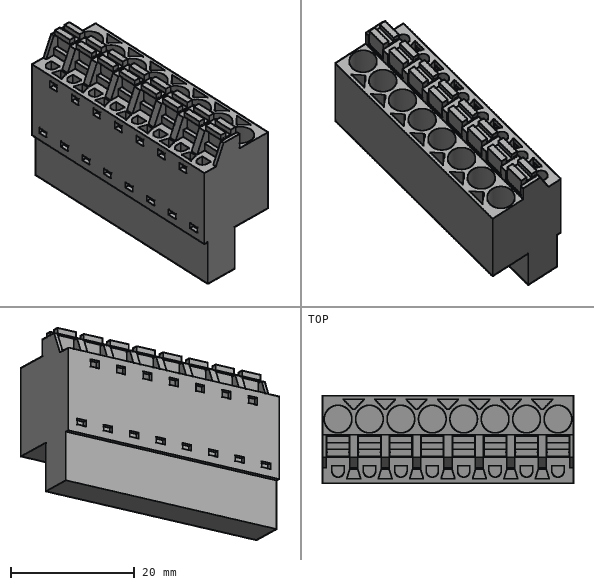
import cadquery as cq


POLES = 8
LENGTH = 40.65
PITCH = LENGTH / POLES
POLE_CENTRES = [PITCH * (i + 0.5) for i in range(POLES)]
POLE_BOUNDARIES = [PITCH * i for i in range(1, POLES)]

DEPTH = 14.2
BODY_BOTTOM = 8.4
FRONT_DECK = 22.7
REAR_DECK = 23.75
RIB_TOP = 26.6
RIB_BACK = 7.85
RIB_TOP_FRONT = 4.25
RIB_FOOT_FRONT = 2.55
PLUG_FRONT = 0.77
PLUG_BACK = 6.8

SLOT_WIDTH = 3.78
SEAT_TOP = 24.1
SEAT_FRONT = RIB_TOP_FRONT

LEVER_WIDTH = 3.58
LEVER_BACK = 7.65
LEVER_STEM_FRONT = 5.05
LEVER_PLATE_TOP = 26.75
LEVER_TOP = 27.7
BAR_DEPTH = 1.1
FRONT_BAR_FRONT = 4.4

WELL_RADIUS = 2.25
WELL_Y = 10.4
WELL_DEPTH = 8.13

REAR_POCKET_BACK = 13.57
REAR_POCKET_FRONT = 12.0
REAR_POCKET_BACK_WIDTH = 3.35
REAR_POCKET_FRONT_WIDTH = 0.33
REAR_POCKET_DEPTH = 8.13

ENTRY_WIDTH = 2.0
ENTRY_BACK = 2.9
ENTRY_FRONT = 1.0
ENTRY_DEPTH = 8.13

FRONT_POCKET_BACK = 2.28
FRONT_POCKET_FRONT = 0.77
FRONT_POCKET_BACK_WIDTH = 1.3
FRONT_POCKET_FRONT_WIDTH = 2.25
FRONT_POCKET_DEPTH = 8.13

UPPER_WINDOW_WIDTH = 1.63
UPPER_WINDOW_BOTTOM = 20.35
UPPER_WINDOW_TOP = 21.62
LOWER_WINDOW_WIDTH = 1.7
LOWER_WINDOW_BOTTOM = 9.8
LOWER_WINDOW_TOP = 10.8
LOWER_WINDOW_DEPTH = 0.77

HOOK_WIDTH = 2.05
HOOK_CENTRES = [2 * PITCH, LENGTH - 2 * PITCH]
HOOK_PROFILE = [
    (10.15, BODY_BOTTOM),
    (9.67, 6.3),
    (9.3, 5.15),
    (8.3, 3.9),
    (7.92, 4.75),
    (8.4, 5.32),
    (8.4, 7.48),
    (8.05, BODY_BOTTOM),
]


def block(x_centre, width, y_front, y_back, z_bottom, z_top):
    """Box centred on x_centre and spanning the given Y and Z ranges."""
    return (
        cq.Workplane("XY")
        .box(width, y_back - y_front, z_top - z_bottom, centered=(True, False, False))
        .translate((x_centre, y_front, z_bottom))
    )


def side_extrusion(profile, x_start, width):
    """Closed YZ profile extruded along X."""
    return cq.Workplane("YZ", origin=(x_start, 0, 0)).polyline(profile).close().extrude(width)


def tapered_pocket(x_centre, y_front, width_front, y_back, width_back, z_top, depth):
    """Cutter with a trapezoid plan, sunk vertically from z_top."""
    return (
        cq.Workplane("XY", origin=(x_centre, 0, z_top))
        .moveTo(-width_front / 2, y_front)
        .lineTo(width_front / 2, y_front)
        .lineTo(width_back / 2, y_back)
        .lineTo(-width_back / 2, y_back)
        .close()
        .extrude(-depth)
    )


def wire_entry(x_centre):
    """Cutter with a straight back wall and a semicircular front wall."""
    radius = ENTRY_WIDTH / 2
    arc_start_y = ENTRY_FRONT + radius
    return (
        cq.Workplane("XY", origin=(x_centre, 0, FRONT_DECK))
        .moveTo(-radius, ENTRY_BACK)
        .lineTo(-radius, arc_start_y)
        .threePointArc((0, ENTRY_FRONT), (radius, arc_start_y))
        .lineTo(radius, ENTRY_BACK)
        .close()
        .extrude(-ENTRY_DEPTH)
    )


def round_well(x_centre):
    """Cutter for a round well in the rear deck."""
    return cq.Workplane("XY", origin=(x_centre, WELL_Y, REAR_DECK)).circle(WELL_RADIUS).extrude(-WELL_DEPTH)


def lever_slot(x_centre):
    """Cutter that opens one lever slot between the ribs, leaving the seat standing."""
    profile = [
        (RIB_FOOT_FRONT, FRONT_DECK),
        (SEAT_FRONT, FRONT_DECK),
        (SEAT_FRONT, SEAT_TOP),
        (RIB_BACK, SEAT_TOP),
        (RIB_BACK, RIB_TOP),
        (RIB_FOOT_FRONT, RIB_TOP),
    ]
    return side_extrusion(profile, x_centre - SLOT_WIDTH / 2, SLOT_WIDTH)


def make_housing():
    outline = [
        (0, BODY_BOTTOM),
        (0, FRONT_DECK),
        (RIB_FOOT_FRONT, FRONT_DECK),
        (RIB_TOP_FRONT, RIB_TOP),
        (RIB_BACK, RIB_TOP),
        (RIB_BACK, REAR_DECK),
        (DEPTH, REAR_DECK),
        (DEPTH, BODY_BOTTOM),
        (PLUG_BACK, BODY_BOTTOM),
        (PLUG_BACK, 0),
        (PLUG_FRONT, 0),
        (PLUG_FRONT, BODY_BOTTOM),
    ]
    housing = side_extrusion(outline, 0, LENGTH)

    for x in HOOK_CENTRES:
        housing = housing.union(side_extrusion(HOOK_PROFILE, x - HOOK_WIDTH / 2, HOOK_WIDTH))

    for x in POLE_CENTRES:
        lower_window = block(
            x, LOWER_WINDOW_WIDTH, 0, LOWER_WINDOW_DEPTH, LOWER_WINDOW_BOTTOM, LOWER_WINDOW_TOP
        )
        housing = housing.cut(lever_slot(x))
        housing = housing.cut(round_well(x))
        housing = housing.cut(wire_entry(x))
        housing = housing.cut(lower_window)

    for x in POLE_BOUNDARIES:
        rear_pocket = tapered_pocket(
            x, REAR_POCKET_FRONT, REAR_POCKET_FRONT_WIDTH,
            REAR_POCKET_BACK, REAR_POCKET_BACK_WIDTH, REAR_DECK, REAR_POCKET_DEPTH,
        )
        front_pocket = tapered_pocket(
            x, FRONT_POCKET_FRONT, FRONT_POCKET_FRONT_WIDTH,
            FRONT_POCKET_BACK, FRONT_POCKET_BACK_WIDTH, FRONT_DECK, FRONT_POCKET_DEPTH,
        )
        upper_window = block(
            x, UPPER_WINDOW_WIDTH, 0, FRONT_POCKET_FRONT, UPPER_WINDOW_BOTTOM, UPPER_WINDOW_TOP
        )
        housing = housing.cut(rear_pocket)
        housing = housing.cut(front_pocket)
        housing = housing.cut(upper_window)

    return housing


def make_lever(x_centre):
    """Lever stem resting on its seat, topped by two finger bars; the front bar overhangs the stem."""
    front_bar_back = FRONT_BAR_FRONT + BAR_DEPTH
    rear_bar_front = LEVER_BACK - BAR_DEPTH
    stem = block(x_centre, LEVER_WIDTH, LEVER_STEM_FRONT, LEVER_BACK, SEAT_TOP, LEVER_PLATE_TOP)
    front_bar = block(x_centre, LEVER_WIDTH, FRONT_BAR_FRONT, front_bar_back, LEVER_PLATE_TOP, LEVER_TOP)
    rear_bar = block(x_centre, LEVER_WIDTH, rear_bar_front, LEVER_BACK, LEVER_PLATE_TOP, LEVER_TOP)
    return stem.union(front_bar).union(rear_bar)


housing = make_housing()
levers = [make_lever(x) for x in POLE_CENTRES]

result = cq.Compound.makeCompound([housing.solids().val(), *[lever.solids().val() for lever in levers]])